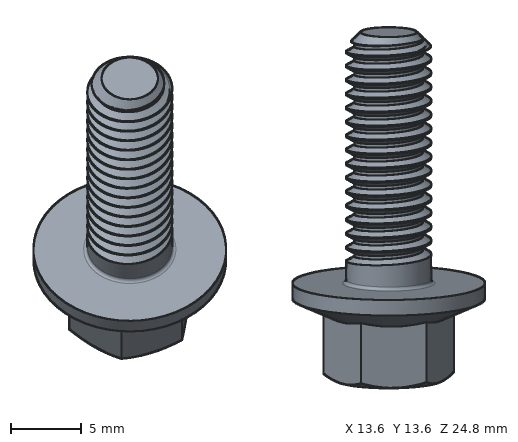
import cadquery as cq
import math

total_height = 24.8

across_flats = 8.0
corner_diameter = across_flats / math.cos(math.radians(30))
hex_turn = 9.8
end_chamfer_angle = 30.0
end_face_radius = 3.92

flange_radius = 6.8
flange_top = 6.85
rim_thickness = 1.12
rim_bottom = flange_top - rim_thickness
flange_slope = 25.0

shank_radius = 3.0
root_fillet = 0.25
tip_radius = 1.98
tip_allowance = 2.98

pitch = shank_radius / 3
thread_depth = 0.57
root_flat = 0.25
flank_angle = 30.0
first_turn_height = 8.35
thread_start_angle = 60.0
cutter_overlap = 0.07


def make_head():
    """Hexagon with a conical chamfer on its free end."""
    hexagon = (
        cq.Workplane("XY")
        .polygon(6, corner_diameter)
        .extrude(rim_bottom)
        .rotate((0, 0, 0), (0, 0, 1), hex_turn)
    )
    chamfer_height = (flange_radius - end_face_radius) * math.tan(math.radians(end_chamfer_angle))
    envelope = (
        cq.Workplane("XZ")
        .moveTo(0, 0)
        .lineTo(end_face_radius, 0)
        .lineTo(flange_radius, chamfer_height)
        .lineTo(flange_radius, rim_bottom)
        .lineTo(0, rim_bottom)
        .close()
        .revolve(360, (0, 0), (0, 1))
    )
    return hexagon.intersect(envelope)


def make_flange():
    """Cylindrical rim above a shallow cone that runs into the hexagon."""
    cone_height = flange_radius * math.tan(math.radians(flange_slope))
    return (
        cq.Workplane("XZ")
        .moveTo(0, rim_bottom - cone_height)
        .lineTo(flange_radius, rim_bottom)
        .lineTo(flange_radius, flange_top)
        .lineTo(0, flange_top)
        .close()
        .revolve(360, (0, 0), (0, 1))
    )


def make_shank():
    """Plain cylinder longer than the bolt, trimmed to length after threading."""
    return (
        cq.Workplane("XY", origin=(0, 0, rim_bottom))
        .circle(shank_radius)
        .extrude(total_height + tip_allowance - rim_bottom)
    )


def make_tip_envelope():
    """Full-width cylinder closed at the top by the 45 degree tip cone."""
    return (
        cq.Workplane("XY")
        .circle(flange_radius)
        .extrude(total_height)
        .faces(">Z")
        .chamfer(flange_radius - tip_radius)
    )


def make_thread_cutter():
    """Trapezoidal groove profile swept along a helix past the tip."""
    root_radius = shank_radius - thread_depth
    outer_radius = shank_radius + cutter_overlap
    root_half = root_flat / 2
    outer_half = root_half + (outer_radius - root_radius) * math.tan(math.radians(flank_angle))
    helix = cq.Wire.makeHelix(pitch, total_height + pitch - first_turn_height, root_radius)
    cutter = (
        cq.Workplane("XZ")
        .moveTo(root_radius, -root_half)
        .lineTo(outer_radius, -outer_half)
        .lineTo(outer_radius, outer_half)
        .lineTo(root_radius, root_half)
        .close()
        .sweep(cq.Workplane(obj=helix), isFrenet=True)
    )
    return cutter.rotate((0, 0, 0), (0, 0, 1), thread_start_angle).translate((0, 0, first_turn_height))


blank = make_head().union(make_flange()).union(make_shank())
flange_face = cq.selectors.NearestToPointSelector((0, 0, flange_top))
shank_foot = cq.selectors.RadiusNthSelector(0)
blank = blank.faces("+Z").faces(flange_face).edges(shank_foot).fillet(root_fillet)
result = blank.cut(make_thread_cutter()).intersect(make_tip_envelope())